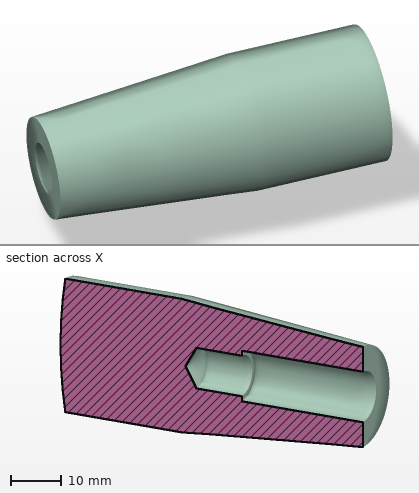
import cadquery as cq
import math

total_length = 69.85
grip_diameter = 28.0
end_diameter = 21.0
taper_length = 41.9
dome_height = 1.1

bore_diameter = 10.5
bore_depth = 27.95
pilot_diameter = 8.4
pilot_depth = 38.4
tip_angle = 118.0

grip_radius = grip_diameter / 2
end_radius = end_diameter / 2
bore_radius = bore_diameter / 2
pilot_radius = pilot_diameter / 2
shoulder_y = total_length - dome_height
tip_length = pilot_radius / math.tan(math.radians(tip_angle / 2))


def revolve_about_y(profile):
    """Turn a closed half profile in the XY plane around the Y axis."""
    return profile.close().revolve(360, (0, 0, 0), (0, 1, 0))


def make_body():
    """Straight taper, cylindrical grip and shallow spherical dome."""
    dome_radius = (grip_radius**2 + dome_height**2) / (2 * dome_height)
    half_radius = grip_radius / 2
    dome_middle_y = total_length - dome_radius + math.sqrt(dome_radius**2 - half_radius**2)
    profile = (
        cq.Workplane("XY")
        .lineTo(end_radius, 0)
        .lineTo(grip_radius, taper_length)
        .lineTo(grip_radius, shoulder_y)
        .threePointArc((half_radius, dome_middle_y), (0, total_length))
    )
    return revolve_about_y(profile)


def make_bore():
    """Wide bore, then a narrower pilot hole with a drill-point tip."""
    profile = (
        cq.Workplane("XY")
        .lineTo(bore_radius, 0)
        .lineTo(bore_radius, bore_depth)
        .lineTo(pilot_radius, bore_depth)
        .lineTo(pilot_radius, pilot_depth)
        .lineTo(0, pilot_depth + tip_length)
    )
    return revolve_about_y(profile)


result = make_body().cut(make_bore())